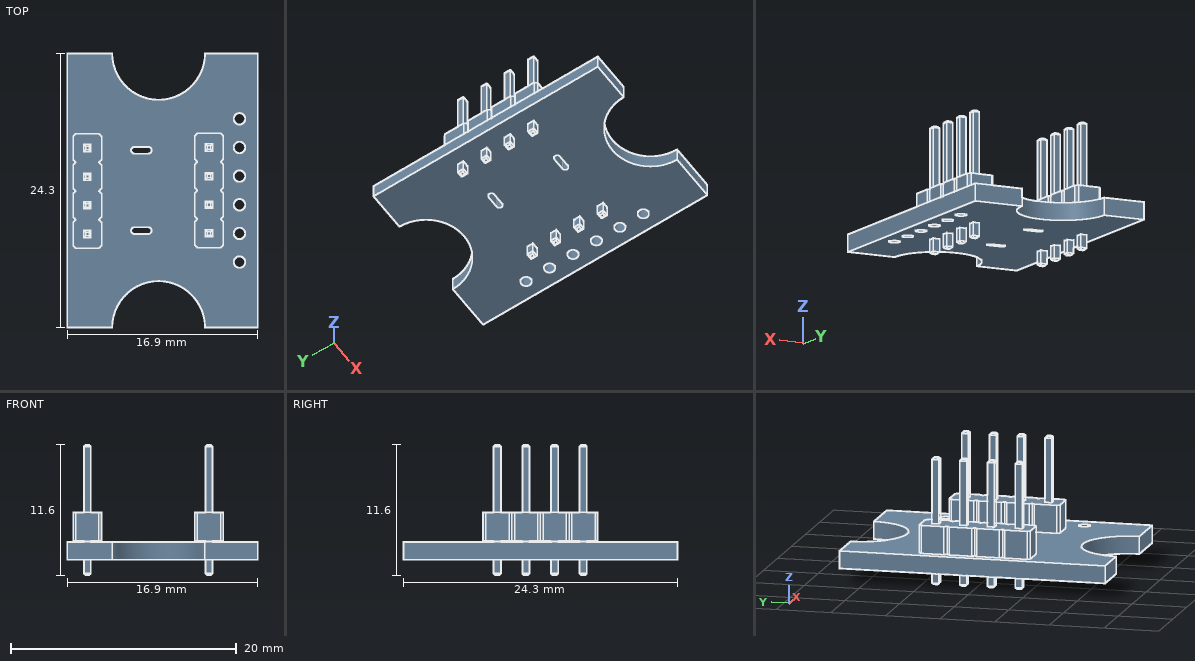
import cadquery as cq

BOARD_WIDTH = 16.91
BOARD_LENGTH = 24.3
BOARD_THICKNESS = 1.6

CUTOUT_RADIUS = 4.1
CUTOUT_X = -0.35

HOLE_COUNT = 6
HOLE_DIAMETER = 1.0
HOLE_EDGE_DISTANCE = 1.63
HOLE_X = BOARD_WIDTH / 2 - HOLE_EDGE_DISTANCE

SLOT_LENGTH = 1.8
SLOT_WIDTH = 0.58
SLOT_X = -1.87
SLOT_SPACING = 7.12

PIN_COUNT = 4
HEADER_LENGTH = 10.15
PITCH = HEADER_LENGTH / PIN_COUNT
CELL_CHAMFER = 0.25
HEADER_STANDOFF = 0.07
HEADER_BOTTOM = BOARD_THICKNESS + HEADER_STANDOFF
HEADER_CENTRES = [(-6.65, -0.05), (4.13, 0.0)]

PIN_WIDTH = 0.63
PIN_LENGTH = 11.55
PIN_BOTTOM = -1.34
PIN_TIP_CHAMFER = 0.158


def row_along_y(x, y, count):
    """Points of an evenly pitched row along Y, centred on (x, y)."""
    return [(x, y + (i - (count - 1) / 2) * PITCH) for i in range(count)]


def make_board():
    """Flat board with edge cutouts, holes, slots and square pin holes."""
    board = cq.Workplane("XY").rect(BOARD_WIDTH, BOARD_LENGTH).extrude(BOARD_THICKNESS)

    cutouts = (
        cq.Workplane("XY")
        .pushPoints([(CUTOUT_X, -BOARD_LENGTH / 2), (CUTOUT_X, BOARD_LENGTH / 2)])
        .circle(CUTOUT_RADIUS)
        .extrude(BOARD_THICKNESS)
    )
    holes = (
        cq.Workplane("XY")
        .pushPoints(row_along_y(HOLE_X, 0, HOLE_COUNT))
        .circle(HOLE_DIAMETER / 2)
        .extrude(BOARD_THICKNESS)
    )
    slots = (
        cq.Workplane("XY")
        .pushPoints([(SLOT_X, -SLOT_SPACING / 2), (SLOT_X, SLOT_SPACING / 2)])
        .slot2D(SLOT_LENGTH, SLOT_WIDTH)
        .extrude(BOARD_THICKNESS)
    )
    board = board.cut(cutouts).cut(holes).cut(slots)

    for x, y in HEADER_CENTRES:
        pin_holes = (
            cq.Workplane("XY")
            .pushPoints(row_along_y(x, y, PIN_COUNT))
            .rect(PIN_WIDTH, PIN_WIDTH)
            .extrude(BOARD_THICKNESS)
        )
        board = board.cut(pin_holes)
    return board


def make_cell():
    """One header cell with chamfered upright edges and its pin, centred on the Z axis."""
    block = (
        cq.Workplane("XY", origin=(0, 0, HEADER_BOTTOM))
        .rect(PITCH, PITCH)
        .extrude(PITCH)
        .edges("|Z")
        .chamfer(CELL_CHAMFER)
    )
    pin = (
        cq.Workplane("XY", origin=(0, 0, PIN_BOTTOM))
        .rect(PIN_WIDTH, PIN_WIDTH)
        .extrude(PIN_LENGTH)
        .faces("<Z or >Z")
        .chamfer(PIN_TIP_CHAMFER)
    )
    return block.union(pin)


def make_header(x, y):
    """Pin header centred on (x, y): its cells fused into one solid."""
    header = cq.Workplane("XY")
    for cell_x, cell_y in row_along_y(x, y, PIN_COUNT):
        header = header.union(make_cell().translate((cell_x, cell_y, 0)))
    return header.clean()


board = make_board()
headers = [make_header(x, y) for x, y in HEADER_CENTRES]

result = cq.Compound.makeCompound([board.val(), *[header.val() for header in headers]])